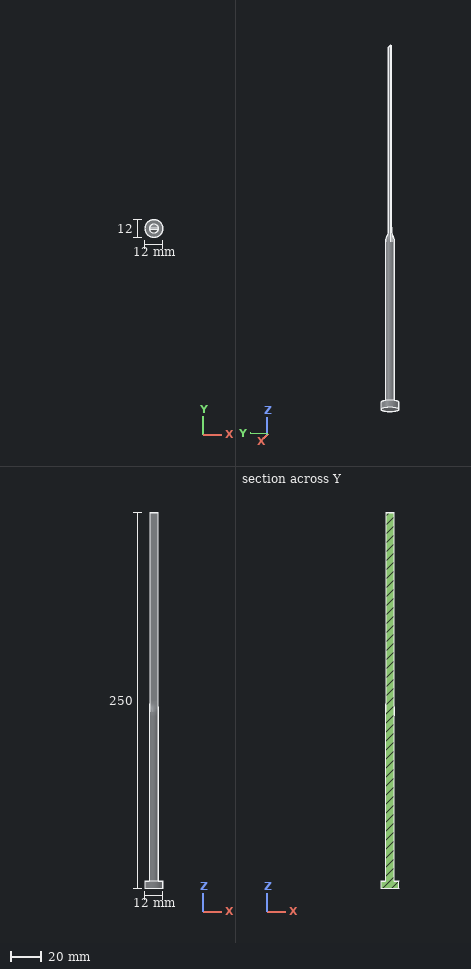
import cadquery as cq
import math

TOTAL_LENGTH = 250.0
HEAD_DIAMETER = 12.0
HEAD_HEIGHT = 5.0
SHAFT_DIAMETER = 6.0

BLADE_WIDTH = 5.5
BLADE_THICKNESS = 1.0
BLADE_START_Z = TOTAL_LENGTH / 2

BLEND_LENGTH = 10.0
BLEND_STEPS = 5
SHAFT_END_Z = BLADE_START_Z - BLEND_LENGTH


def round_bar(diameter, height):
    """Cylinder standing on Z = 0."""
    return cq.Workplane("XY").circle(diameter / 2).extrude(height)


def mix(start, end, share):
    """Value lying the given share of the way from start to end."""
    return start + (end - start) * share


def smooth_step(fraction):
    """Rise from 0 to 1 that is flat, with no curvature, at both ends."""
    return fraction**3 * (10 - 15 * fraction + 6 * fraction**2)


def blend_section(share):
    """Four-sided outline: the shaft circle at share 0, the blade rectangle at share 1.

    The corners start on the circle in the direction of the blade corners, and each side
    is an arc that flattens as the share grows.
    """
    radius = SHAFT_DIAMETER / 2
    half_width = BLADE_WIDTH / 2
    half_thickness = BLADE_THICKNESS / 2
    corner_angle = math.atan2(half_thickness, half_width)

    corner_x = mix(radius * math.cos(corner_angle), half_width, share)
    corner_y = mix(radius * math.sin(corner_angle), half_thickness, share)
    side_x = mix(radius, half_width, share)
    side_y = mix(radius, half_thickness, share)

    outline = cq.Workplane("XY").moveTo(-corner_x, -corner_y)
    if share == 1:
        outline = outline.lineTo(corner_x, -corner_y).lineTo(corner_x, corner_y)
        outline = outline.lineTo(-corner_x, corner_y).close()
    else:
        outline = outline.threePointArc((0, -side_y), (corner_x, -corner_y))
        outline = outline.threePointArc((side_x, 0), (corner_x, corner_y))
        outline = outline.threePointArc((0, side_y), (-corner_x, corner_y))
        outline = outline.threePointArc((-side_x, 0), (-corner_x, -corner_y)).close()
    return outline.val()


def shaft_to_blade_blend():
    """Smooth S-shaped taper that leaves the shaft and meets the blade parallel to Z."""
    sections = []
    for step in range(BLEND_STEPS + 1):
        fraction = step / BLEND_STEPS
        share = smooth_step(fraction)
        height = SHAFT_END_Z + BLEND_LENGTH * fraction
        sections.append(blend_section(share).translate(cq.Vector(0, 0, height)))
    return cq.Workplane(cq.Solid.makeLoft(sections))


def flat_blade():
    base = cq.Workplane("XY").workplane(offset=BLADE_START_Z)
    return base.rect(BLADE_WIDTH, BLADE_THICKNESS).extrude(TOTAL_LENGTH - BLADE_START_Z)


head = round_bar(HEAD_DIAMETER, HEAD_HEIGHT)
shaft = round_bar(SHAFT_DIAMETER, SHAFT_END_Z)
result = head.union(shaft).union(shaft_to_blade_blend()).union(flat_blade())